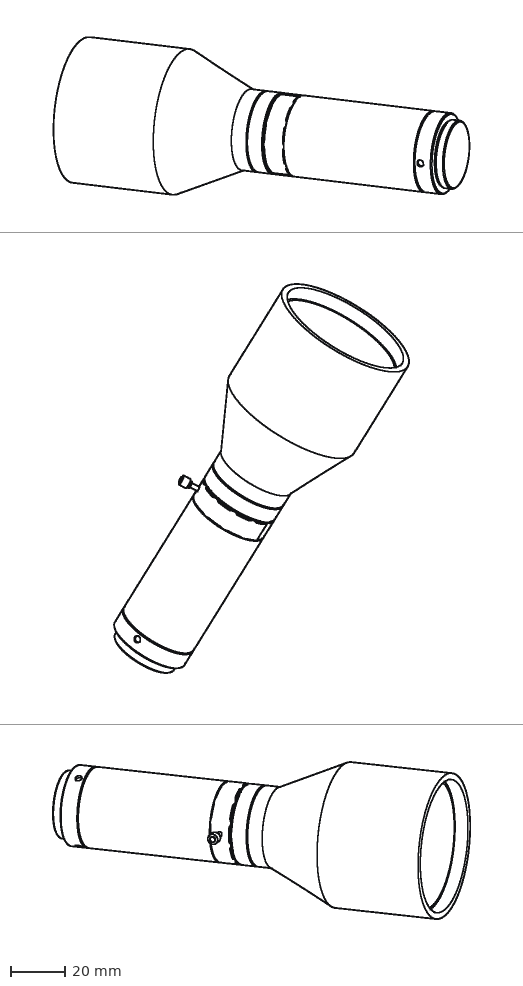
import cadquery as cq
import math

LENGTH = 149.4
HOOD_RADIUS = 27.0
HOOD_END = 39.7
CONE_END = 65.9

TUBE_RADIUS = 15.1
TUBE_END = 145.5
TUBE_CHAMFER = 0.5
NECK_RADIUS = 12.2
FLANGE_START = 146.2
FLANGE_RADIUS = 12.7
FLANGE_CHAMFER = 0.5

JOINT_GROOVE_STARTS = (71.7, 138.3)
JOINT_GROOVE_WIDTH = 0.5
JOINT_GROOVE_DEPTH = 0.3

GRIP_GAP_START = 78.0
GRIP_GAP_WIDTH = 0.6
GRIP_GAP_DEPTH = 0.6
GRIP_END = 86.6
GRIP_CHAMFER = 0.5
FLUTE_COUNT = 11
FLUTE_DEPTH = 0.5
FLUTE_RADIUS = 2.7
FLUTE_EDGE_RADIUS = 1.6

CAP_HOLE_X = 141.0
CAP_HOLE_COUNT = 3
CAP_HOLE_DIAMETER = 2.5
CAP_HOLE_DEPTH = 1.0

RECESS_RADIUS = 24.6
RECESS_DEPTH = 5.1
LEDGE_WIDTH = 0.9

LENS_BULGE = 2.5
LENS_THICKNESS = 4.5

SCREW_SEAT = 12.7
SCREW_SHANK_RADIUS = 0.9
SCREW_COLLAR_START = 18.4
SCREW_COLLAR_RADIUS = 1.3
SCREW_HEAD_START = 19.3
SCREW_HEAD_RADIUS = 2.0
SCREW_HEAD_END = 22.3
SCREW_TIP_RADIUS = 1.0
SCREW_TIP_END = 22.7

LENS_RADIUS = RECESS_RADIUS - LEDGE_WIDTH
LENS_BACK_X = RECESS_DEPTH + LENS_THICKNESS
GRIP_START = GRIP_GAP_START + GRIP_GAP_WIDTH
SCREW_X = (GRIP_START + GRIP_END) / 2


def revolve_about_x(outline):
    """Turn an (x, radius) outline around the X axis."""
    return outline.close().revolve(360, (0, 0, 0), (1, 0, 0))


def make_groove(start, width, depth):
    """Cutter for a square groove around the tube."""
    ring = cq.Workplane("YZ", origin=(start, 0, 0)).circle(HOOD_RADIUS).circle(TUBE_RADIUS - depth)
    return ring.extrude(width)


def make_end_chamfer(x, inward):
    """Cutter that bevels a grip end at x; inward is +1 or -1, toward the grip middle."""
    return revolve_about_x(
        cq.Workplane("XY")
        .moveTo(x, TUBE_RADIUS - GRIP_CHAMFER)
        .lineTo(x + inward * GRIP_CHAMFER, TUBE_RADIUS)
        .lineTo(x, TUBE_RADIUS)
    )


def make_flutes():
    """Cutters for the flutes: a hollow floor that runs out over rounded edges, the first one on -Y."""
    floor_centre = TUBE_RADIUS - FLUTE_DEPTH + FLUTE_RADIUS
    edge_distance = TUBE_RADIUS - FLUTE_EDGE_RADIUS
    centre_gap = FLUTE_RADIUS + FLUTE_EDGE_RADIUS
    edge_angle = math.acos(
        (edge_distance ** 2 + floor_centre ** 2 - centre_gap ** 2) / (2 * edge_distance * floor_centre)
    )
    edge_y = edge_distance * math.cos(edge_angle)
    edge_z = edge_distance * math.sin(edge_angle)

    floor_angle = math.atan2(-edge_z, floor_centre - edge_y)
    middle_angle = (edge_angle + floor_angle) / 2

    def edge_point(angle, side):
        y = edge_y + FLUTE_EDGE_RADIUS * math.cos(angle)
        z = edge_z + FLUTE_EDGE_RADIUS * math.sin(angle)
        return (-y, side * z)

    flute = (
        cq.Workplane("YZ", origin=(GRIP_START, 0, 0))
        .moveTo(*edge_point(edge_angle, 1))
        .threePointArc(edge_point(middle_angle, 1), edge_point(floor_angle, 1))
        .threePointArc((FLUTE_DEPTH - TUBE_RADIUS, 0), edge_point(floor_angle, -1))
        .threePointArc(edge_point(middle_angle, -1), edge_point(edge_angle, -1))
        .lineTo(-floor_centre, 0)
        .close()
        .extrude(GRIP_END - GRIP_START)
    )
    step = 360 / FLUTE_COUNT
    return [flute.rotate((0, 0, 0), (1, 0, 0), i * step) for i in range(FLUTE_COUNT)]


def make_cap_holes():
    """Cutters for the blind radial holes in the rear cap, the first one on -Y."""
    hole = (
        cq.Workplane("XZ", origin=(CAP_HOLE_X, CAP_HOLE_DEPTH - TUBE_RADIUS, 0))
        .circle(CAP_HOLE_DIAMETER / 2)
        .extrude(2 * CAP_HOLE_DEPTH)
    )
    step = 360 / CAP_HOLE_COUNT
    return [hole.rotate((0, 0, 0), (1, 0, 0), i * step) for i in range(CAP_HOLE_COUNT)]


def make_front_opening():
    """Cutter for the front recess, its ledge and the bore that holds the lens."""
    return revolve_about_x(
        cq.Workplane("XY")
        .moveTo(0, 0)
        .lineTo(0, RECESS_RADIUS)
        .lineTo(RECESS_DEPTH, RECESS_RADIUS)
        .lineTo(RECESS_DEPTH, LENS_RADIUS)
        .lineTo(LENS_BACK_X, LENS_RADIUS)
        .lineTo(LENS_BACK_X, 0)
    )


def make_lens():
    """Lens with a convex front and a flat back."""
    sphere_radius = (LENS_RADIUS ** 2 + LENS_BULGE ** 2) / (2 * LENS_BULGE)
    mid_radius = LENS_RADIUS / 2
    apex_x = RECESS_DEPTH - LENS_BULGE
    mid_x = apex_x + sphere_radius - math.sqrt(sphere_radius ** 2 - mid_radius ** 2)
    return revolve_about_x(
        cq.Workplane("XY")
        .moveTo(apex_x, 0)
        .threePointArc((mid_x, mid_radius), (RECESS_DEPTH, LENS_RADIUS))
        .lineTo(LENS_BACK_X, LENS_RADIUS)
        .lineTo(LENS_BACK_X, 0)
    )


def make_thumb_screw():
    """Thumb screw with a plain shank, a collar and a round head with a small tip."""
    return (
        cq.Workplane("XY")
        .moveTo(0, SCREW_SEAT)
        .lineTo(SCREW_SHANK_RADIUS, SCREW_SEAT)
        .lineTo(SCREW_SHANK_RADIUS, SCREW_COLLAR_START)
        .lineTo(SCREW_COLLAR_RADIUS, SCREW_COLLAR_START)
        .lineTo(SCREW_COLLAR_RADIUS, SCREW_HEAD_START)
        .lineTo(SCREW_HEAD_RADIUS, SCREW_HEAD_START)
        .lineTo(SCREW_HEAD_RADIUS, SCREW_HEAD_END)
        .lineTo(SCREW_TIP_RADIUS, SCREW_HEAD_END)
        .lineTo(SCREW_TIP_RADIUS, SCREW_TIP_END)
        .lineTo(0, SCREW_TIP_END)
        .close()
        .revolve(360, (0, 0, 0), (0, 1, 0))
        .translate((SCREW_X, 0, 0))
    )


def make_housing():
    """Hood, cone, tube and flange, with a seat for the lens and a hole for the screw."""
    body = revolve_about_x(
        cq.Workplane("XY")
        .moveTo(0, 0)
        .lineTo(0, HOOD_RADIUS)
        .lineTo(HOOD_END, HOOD_RADIUS)
        .lineTo(CONE_END, TUBE_RADIUS)
        .lineTo(TUBE_END - TUBE_CHAMFER, TUBE_RADIUS)
        .lineTo(TUBE_END, TUBE_RADIUS - TUBE_CHAMFER)
        .lineTo(TUBE_END, NECK_RADIUS)
        .lineTo(FLANGE_START, NECK_RADIUS)
        .lineTo(FLANGE_START, FLANGE_RADIUS)
        .lineTo(LENGTH - FLANGE_CHAMFER, FLANGE_RADIUS)
        .lineTo(LENGTH, FLANGE_RADIUS - FLANGE_CHAMFER)
        .lineTo(LENGTH, 0)
    )

    body = body.cut(make_front_opening())

    for start in JOINT_GROOVE_STARTS:
        body = body.cut(make_groove(start, JOINT_GROOVE_WIDTH, JOINT_GROOVE_DEPTH))

    body = body.cut(make_groove(GRIP_GAP_START, GRIP_GAP_WIDTH, GRIP_GAP_DEPTH))
    body = body.cut(make_end_chamfer(GRIP_START, 1))
    body = body.cut(make_end_chamfer(GRIP_END, -1))
    for flute in make_flutes():
        body = body.cut(flute)

    for hole in make_cap_holes():
        body = body.cut(hole)

    return body.cut(make_thumb_screw())


housing = make_housing()
lens = make_lens()
thumb_screw = make_thumb_screw()

result = cq.Compound.makeCompound([housing.solids().val(), lens.val(), thumb_screw.val()])